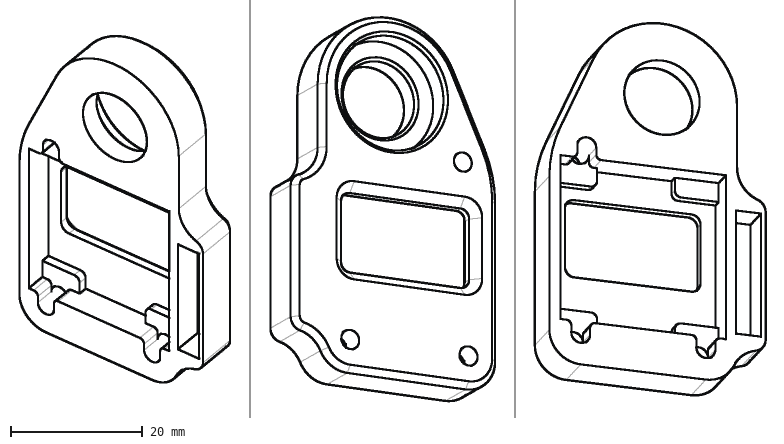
import cadquery as cq
import math


thickness = 8.0
back_chamfer = 1.0
body_right = 30.05
corner_radius = 5.0

total_height = 57.0
eye_radius = 12.0
eye_bore = eye_radius
eye_counterbore = 18.0
eye_counterbore_depth = 4.0
eye_chamfer = 0.5
eye_x = body_right - eye_radius
eye_z = total_height - eye_radius

shoulder_radius = 20.0
shoulder_z = 30.0

tab_right = 34.6
tab_corner = 2.0
tab_low_z = 7.65
tab_high_z = 28.4
blend_radius = corner_radius

pocket_width = 26.45
pocket_height = 26.6
pocket_depth = 5.0
pocket_x = body_right / 2
pocket_z = 20.3

pad_width = 7.0
pad_height = 3.1
pad_thickness = 1.55
pad_corner = 1.0
pad_face = pocket_depth - pad_thickness

window_width = 21.65
window_height = 12.55
window_z = 22.35
window_corner = 1.5
window_chamfer = 1.5

screw_diameter = 3.0
screw_spacing = 20.0
channel_blend = 0.8
upper_screw = (6.0, 35.5)
lower_screws = [(corner_radius, corner_radius), (corner_radius + screw_spacing, corner_radius)]

slot_width = 4.0
slot_height = 20.0
slot_depth = pocket_depth
slot_x = 31.85
slot_z = 18.05

touching = 0.0005


def at_depth(y):
    """XZ workplane at depth y; a negative extrusion runs towards the back."""
    return cq.Workplane("XZ", origin=(0, y, 0))


def block(x, z, width, height, front, back):
    """Rectangular block centred on (x, z) between two depths."""
    return at_depth(front).center(x, z).rect(width, height).extrude(front - back)


def cylinder(x, z, diameter, front, back):
    return at_depth(front).center(x, z).circle(diameter / 2).extrude(front - back)


def on_circle(x, z, radius, angle):
    return x + radius * math.cos(angle), z + radius * math.sin(angle)


def direction(x_from, z_from, x_to, z_to):
    return math.atan2(z_to - z_from, x_to - x_from)


def make_outline():
    """Counterclockwise outline of tangent arcs, joined by straight lines where they do not touch."""
    lower_right_x = body_right - corner_radius
    tab_x = tab_right - tab_corner
    blend_to_tab = blend_radius + tab_corner
    blend_to_body = blend_radius + corner_radius

    gap = math.hypot(tab_x - lower_right_x, tab_low_z - corner_radius)
    gap_angle = direction(lower_right_x, corner_radius, tab_x, tab_low_z)
    swing = math.acos((blend_to_body**2 + gap**2 - blend_to_tab**2) / (2 * blend_to_body * gap))
    neck_angle = gap_angle - swing
    low_x, low_z = on_circle(lower_right_x, corner_radius, blend_to_body, neck_angle)
    low_tab_angle = direction(tab_x, tab_low_z, low_x, low_z)

    high_x = body_right + blend_radius
    high_tab_angle = math.acos((high_x - tab_x) / blend_to_tab)
    high_z = tab_high_z + blend_to_tab * math.sin(high_tab_angle)

    reach = math.hypot(eye_x - shoulder_radius, eye_z - shoulder_z)
    rise = direction(shoulder_radius, shoulder_z, eye_x, eye_z)
    flank_angle = rise + math.acos((shoulder_radius - eye_radius) / reach)

    arcs = [
        (corner_radius, corner_radius, corner_radius, -math.pi, -math.pi / 2),
        (lower_right_x, corner_radius, corner_radius, -math.pi / 2, neck_angle),
        (low_x, low_z, blend_radius, neck_angle + math.pi, low_tab_angle + math.pi),
        (tab_x, tab_low_z, tab_corner, low_tab_angle, 0),
        (tab_x, tab_high_z, tab_corner, 0, high_tab_angle),
        (high_x, high_z, blend_radius, high_tab_angle + math.pi, math.pi),
        (eye_x, eye_z, eye_radius, 0, flank_angle),
        (shoulder_radius, shoulder_z, shoulder_radius, flank_angle, math.pi),
    ]
    path = at_depth(0).moveTo(0, corner_radius)
    pen = (0, corner_radius)
    for x, z, radius, start_angle, end_angle in arcs:
        start = on_circle(x, z, radius, start_angle)
        middle = on_circle(x, z, radius, (start_angle + end_angle) / 2)
        end = on_circle(x, z, radius, end_angle)
        if math.dist(pen, start) > touching:
            path = path.lineTo(*start)
        path = path.threePointArc(middle, end)
        pen = end
    return path.close()


def make_window():
    window = block(pocket_x, window_z, window_width, window_height, 0, thickness)
    return window.edges("|Y").fillet(window_corner)


def make_plate():
    """Plate with its window, chamfered along the outer edge and the window edge at the back."""
    plate = make_outline().extrude(-thickness).faces(">Y").chamfer(back_chamfer)
    plate = plate.cut(make_window())
    window_rim = plate.faces(">Y").wires(cq.selectors.LengthNthSelector(0))
    return window_rim.edges().chamfer(window_chamfer)


def make_pocket():
    pocket = block(pocket_x, pocket_z, pocket_width, pocket_height, 0, pocket_depth)
    for side_x in (-1, 1):
        for side_z in (-1, 1):
            x = pocket_x + side_x * (pocket_width - pad_width) / 2
            z = pocket_z + side_z * (pocket_height - pad_height) / 2
            pad = block(x, z, pad_width, pad_height, pad_face, pocket_depth)
            inner_x = ">X" if side_x < 0 else "<X"
            inner_z = ">Z" if side_z < 0 else "<Z"
            pad = pad.faces(inner_x).edges(inner_z).fillet(pad_corner)
            pocket = pocket.cut(pad)
    return pocket


def make_screw_cut(x, z, wall_z):
    """Through hole plus a channel with flared mouth opening at the pocket wall."""
    half = screw_diameter / 2
    away = math.copysign(1, z - wall_z)
    bend = channel_blend * (1 - math.sqrt(0.5))
    flare_z = wall_z + away * channel_blend
    mouth = half + channel_blend
    channel = (
        at_depth(0)
        .moveTo(x - mouth, wall_z)
        .threePointArc((x - half - bend, wall_z + away * bend), (x - half, flare_z))
        .lineTo(x - half, z)
        .threePointArc((x, z + away * half), (x + half, z))
        .lineTo(x + half, flare_z)
        .threePointArc((x + half + bend, wall_z + away * bend), (x + mouth, wall_z))
        .close()
        .extrude(-pad_face)
    )
    return channel.union(cylinder(x, z, screw_diameter, 0, thickness))


def make_flared_bore(diameter, front, back):
    """Cutter for a bore of the eye that widens by a chamfer at its back end."""
    radius = diameter / 2
    profile = [
        (0, front),
        (radius, front),
        (radius, back - eye_chamfer),
        (radius + eye_chamfer, back),
        (0, back),
    ]
    bore = cq.Workplane("XY").polyline(profile).close().revolve(360, (0, 0), (0, 1))
    return bore.translate((eye_x, 0, eye_z))


def make_eye_cut():
    ledge = thickness - eye_counterbore_depth
    bore = make_flared_bore(eye_bore, 0, ledge)
    counterbore = make_flared_bore(eye_counterbore, ledge, thickness)
    return bore.union(counterbore)


result = make_plate()
result = result.cut(make_pocket()).cut(make_eye_cut())
for screw_x, screw_z in lower_screws:
    result = result.cut(make_screw_cut(screw_x, screw_z, pocket_z - pocket_height / 2))
result = result.cut(make_screw_cut(*upper_screw, pocket_z + pocket_height / 2))
result = result.cut(block(slot_x, slot_z, slot_width, slot_height, 0, slot_depth))